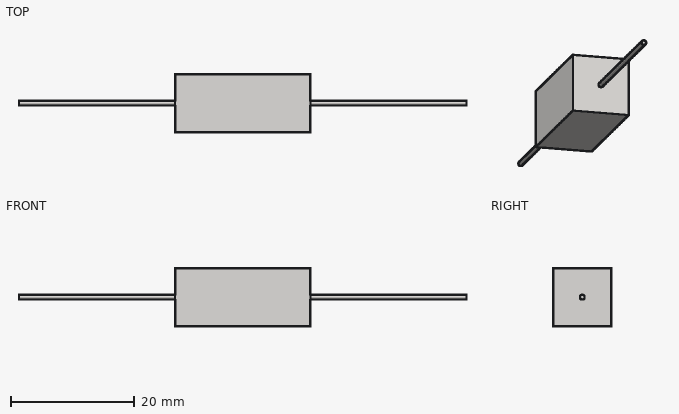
import cadquery as cq

overall_length = 72.8
block_length = 22.0
block_width = 9.5
lead_diameter = 0.8
lead_length = (overall_length - block_length) / 2


def make_block():
    """Square block centred on the origin."""
    return cq.Workplane("XY").box(block_length, block_width, block_width)


def make_lead(side):
    """Straight lead from the block's end face outward; side is +1 or -1 along X."""
    return (
        cq.Workplane("YZ")
        .workplane(offset=side * block_length / 2)
        .circle(lead_diameter / 2)
        .extrude(side * lead_length)
    )


block = make_block()
leads = [make_lead(side) for side in (-1, 1)]

result = cq.Compound.makeCompound([block.val(), *[lead.val() for lead in leads]])